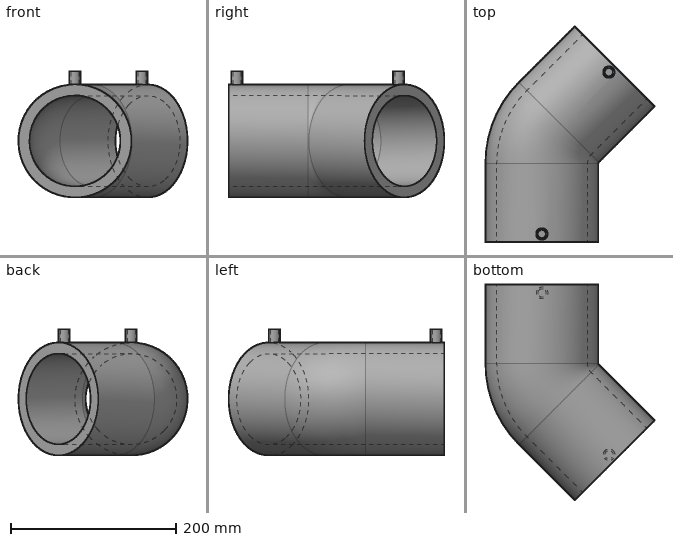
import cadquery as cq
import math

outer_diameter = 137.0
bore_diameter = 110.0
outer_radius = outer_diameter / 2
bore_radius = bore_diameter / 2

bend_angle = 45.0
bend_radius = 70.0
leg_length = 95.78

stub_diameter = 14.0
stub_bore_diameter = 10.0
stub_height = 16.0
stub_bore_depth = stub_height
stub_end_distance = 10.0
stub_root_depth = 5.0

bend_start_y = leg_length
bend_center = (bend_radius, bend_start_y)
angle = math.radians(bend_angle)
leg_direction = (math.sin(angle), math.cos(angle))
bend_end = (
    bend_center[0] - bend_radius * math.cos(angle),
    bend_center[1] + bend_radius * math.sin(angle),
)


def straight_leg(radius, start, direction):
    """Solid cylinder of leg length with its axis in the XY plane."""
    base_point = cq.Vector(*start, 0)
    axis = cq.Vector(*direction, 0)
    return cq.Workplane(cq.Solid.makeCylinder(radius, leg_length, base_point, axis))


def bend(radius):
    """Solid circular section revolved about the vertical axis of the bend."""
    axis_top = (bend_radius, 1)
    axis_bottom = (bend_radius, 0)
    return (
        cq.Workplane("XZ", origin=(0, bend_start_y, 0))
        .circle(radius)
        .revolve(bend_angle, axis_top, axis_bottom)
    )


def elbow(radius):
    """Solid elbow of the given section radius."""
    first_leg = straight_leg(radius, (0, 0), (0, 1))
    second_leg = straight_leg(radius, bend_end, leg_direction)
    return first_leg.union(bend(radius)).union(second_leg)


def upright_cylinder(position, diameter, bottom_z, top_z):
    """Vertical cylinder between two heights."""
    return (
        cq.Workplane("XY", origin=(*position, bottom_z))
        .circle(diameter / 2)
        .extrude(top_z - bottom_z)
    )


def add_stub(body, position):
    """Add one hollow terminal stub."""
    top_z = outer_radius + stub_height
    post = upright_cylinder(position, stub_diameter, outer_radius - stub_root_depth, top_z)
    bore = upright_cylinder(position, stub_bore_diameter, top_z - stub_bore_depth, top_z)
    return body.union(post).cut(bore)


stub_path_distance = leg_length - stub_end_distance
first_stub = (0, stub_end_distance)
second_stub = (
    bend_end[0] + stub_path_distance * leg_direction[0],
    bend_end[1] + stub_path_distance * leg_direction[1],
)

result = elbow(outer_radius).cut(elbow(bore_radius))
for stub_position in (first_stub, second_stub):
    result = add_stub(result, stub_position)